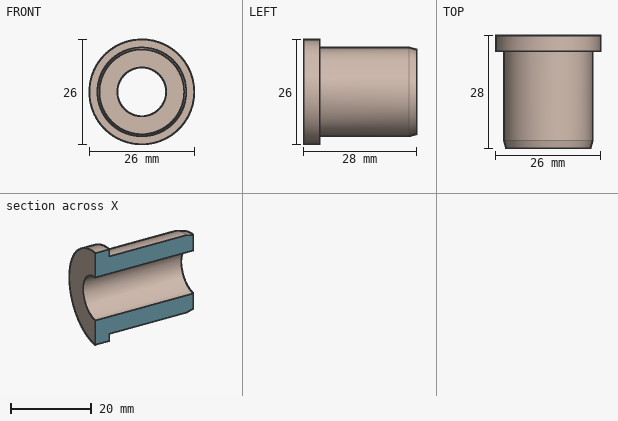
import cadquery as cq
import math

total_length = 28.0
flange_diameter = 26.0
flange_thickness = 4.0
body_diameter = 22.0
bore_diameter = 12.0

taper_length = 2.0
taper_angle = 15.0

flange_radius = flange_diameter / 2
body_radius = body_diameter / 2
bore_radius = bore_diameter / 2
tip_radius = body_radius - taper_length * math.tan(math.radians(taper_angle))
flange_start = total_length - flange_thickness

half_section = (
    cq.Workplane("XY")
    .moveTo(bore_radius, 0)
    .lineTo(tip_radius, 0)
    .lineTo(body_radius, taper_length)
    .lineTo(body_radius, flange_start)
    .lineTo(flange_radius, flange_start)
    .lineTo(flange_radius, total_length)
    .lineTo(bore_radius, total_length)
    .close()
)

result = half_section.revolve(360, (0, 0, 0), (0, 1, 0))